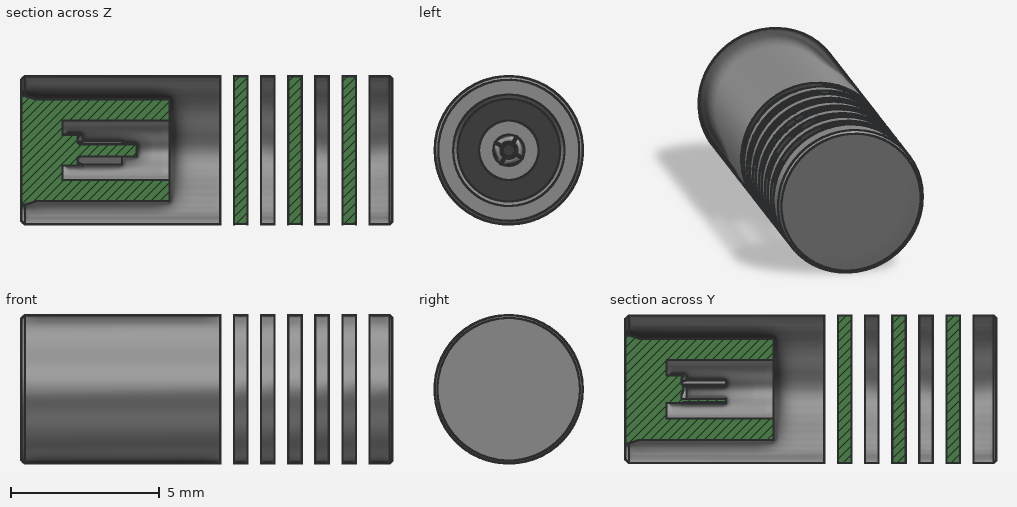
import cadquery as cq
import math


body_length = 12.5
body_radius = 2.5
front_chamfer = 0.12
rear_chamfer = 0.1

groove_count = 6
groove_radius = 0.22
groove_pitch = 0.91
first_groove_x = 6.94

socket_radius = 1.72
mouth_radius = 1.88
mouth_depth = 0.5
socket_depth = 5.0

post_radius = 1.0
post_face_x = 1.4

contact_radius = 0.52
contact_bore_radius = 0.21
contact_recess = 0.5
contact_tip_round = 0.16
contact_bore_chamfer = 0.08
contact_bore_depth = 2.0
slot_width = 0.06
slot_overrun = 0.01
slot_depth = 1.5
slot_tilt = 30.0

contact_tip_x = post_face_x + contact_recess


def make_cylinder(start_x, end_x, radius):
    return cq.Workplane("YZ").workplane(offset=start_x).circle(radius).extrude(end_x - start_x)


def make_sleeve():
    sleeve = make_cylinder(0, body_length, body_radius)
    sleeve = sleeve.faces("<X").chamfer(front_chamfer)
    return sleeve.faces(">X").chamfer(rear_chamfer)


def make_groove(center_x):
    section = cq.Workplane("XY").center(center_x, body_radius).circle(groove_radius)
    return section.revolve(360, (-center_x, -body_radius), (0.12 - center_x, -body_radius))


def make_socket():
    half_section = (
        cq.Workplane("XY")
        .lineTo(0, mouth_radius)
        .lineTo(mouth_depth, socket_radius)
        .lineTo(socket_depth, socket_radius)
        .lineTo(socket_depth, 0)
        .close()
    )
    return half_section.revolve(360, (0, 0), (1, 0))


def make_contact_cavity():
    """Space in front of the contact: recess, rounded tip and chamfered bore."""
    tip_land_radius = contact_radius - contact_tip_round
    bore_mouth_radius = contact_bore_radius + contact_bore_chamfer
    bore_end_x = contact_tip_x + contact_bore_depth
    arc_offset = contact_tip_round * math.sqrt(0.5)
    arc_middle = (contact_tip_x + contact_tip_round - arc_offset, tip_land_radius + arc_offset)
    half_section = (
        cq.Workplane("XY")
        .moveTo(post_face_x, 0)
        .lineTo(post_face_x, contact_radius)
        .lineTo(contact_tip_x + contact_tip_round, contact_radius)
        .threePointArc(arc_middle, (contact_tip_x, tip_land_radius))
        .lineTo(contact_tip_x, bore_mouth_radius)
        .lineTo(contact_tip_x + contact_bore_chamfer, contact_bore_radius)
        .lineTo(bore_end_x, contact_bore_radius)
        .lineTo(bore_end_x, 0)
        .close()
    )
    return half_section.revolve(360, (0, 0), (1, 0))


def make_contact_slots():
    """Two crossed slots that split the contact into four fingers and just nick the post around it."""
    slot_length = 2 * (contact_radius + slot_overrun)
    slot = cq.Workplane("YZ").workplane(offset=contact_tip_x).rect(slot_length, slot_width)
    slot = slot.extrude(slot_depth)
    crossed = slot.union(slot.rotate((0, 0, 0), (1, 0, 0), 90))
    return crossed.rotate((0, 0, 0), (1, 0, 0), slot_tilt)


result = make_sleeve()
for index in range(groove_count):
    result = result.cut(make_groove(first_groove_x + index * groove_pitch))
result = result.cut(make_socket())
result = result.union(make_cylinder(post_face_x, socket_depth, post_radius))
result = result.cut(make_contact_cavity())
result = result.cut(make_contact_slots())